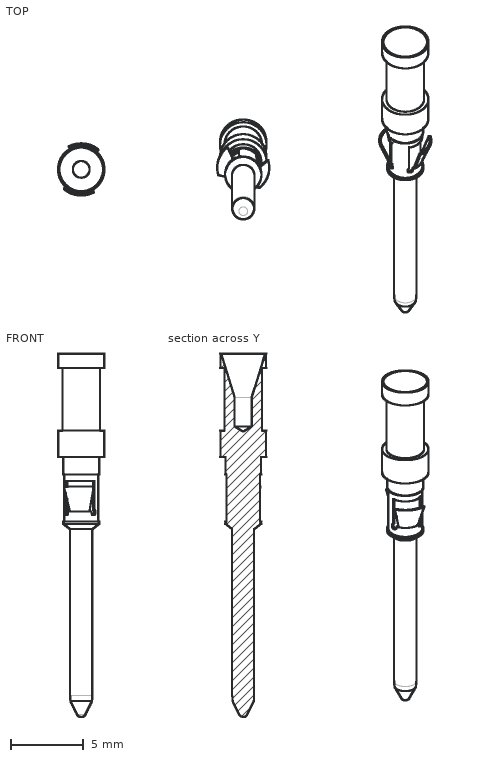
import cadquery as cq
import math

length = 25.0
z_top = length / 2
z_bottom = -length / 2

flange_radius = 1.6
neck_radius = 1.3
shoulder_radius = 1.25
sleeve_radius = 1.18
pin_radius = 0.78

z_rim_bottom = z_top - 1.0
z_collar_top = z_top - 5.3
z_collar_bottom = z_top - 7.12
z_sleeve_top = z_top - 8.3
z_sleeve_bottom = z_top - 11.55
z_ring_bottom = z_sleeve_bottom - 0.15
z_pin_top = z_ring_bottom - 0.38

z_pin_bottom = z_bottom + 1.48
z_taper_top = z_bottom + 1.1
taper_radius = 0.75
z_nose = z_bottom + 0.2
nose_radius = 0.3

mouth_radius = 1.5
bore_radius = 0.58
funnel_depth = 3.0
bore_depth = 5.0
drill_point_depth = bore_radius / math.tan(math.radians(59))

core_radius = 1.05
window_top = z_top - 8.78
window_bottom = z_top - 10.85
window_angle = 114.0
tab_top = z_top - 9.15
tab_tip_radius = 1.8
tab_angle = 70.0
tab_wall = sleeve_radius - core_radius
relief_radius = 0.2
relief_z = window_bottom - 0.05
relief_angle = 53.0
sleeve_turn = -6.4
tab_directions = [270 + sleeve_turn, 90 + sleeve_turn]


def revolve_sector(points, centre_angle, sweep):
    """Revolve an (r, z) outline about Z through a sector centred on an angle from +X."""
    sector = cq.Workplane("XZ").polyline(points).close().revolve(sweep, (0, 0), (0, 1))
    return sector.rotate((0, 0, 0), (0, 0, 1), centre_angle - sweep / 2)


def make_body():
    nose_height = z_nose - z_bottom
    nose_sphere = (nose_radius**2 + nose_height**2) / (2 * nose_height)
    half_arc = math.asin(nose_radius / nose_sphere) / 2
    nose_mid = (
        nose_sphere * math.sin(half_arc),
        z_bottom + nose_sphere * (1 - math.cos(half_arc)),
    )
    outline = (
        cq.Workplane("XZ")
        .moveTo(0, z_top)
        .lineTo(flange_radius, z_top)
        .lineTo(flange_radius, z_rim_bottom)
        .lineTo(neck_radius, z_rim_bottom)
        .lineTo(neck_radius, z_collar_top)
        .lineTo(flange_radius, z_collar_top)
        .lineTo(flange_radius, z_collar_bottom)
        .lineTo(shoulder_radius, z_collar_bottom)
        .lineTo(shoulder_radius, z_sleeve_top)
        .lineTo(sleeve_radius, z_sleeve_top)
        .lineTo(sleeve_radius, z_sleeve_bottom)
        .lineTo(shoulder_radius, z_sleeve_bottom)
        .lineTo(shoulder_radius, z_ring_bottom)
        .lineTo(pin_radius, z_pin_top)
        .lineTo(pin_radius, z_pin_bottom)
        .lineTo(taper_radius, z_taper_top)
        .lineTo(nose_radius, z_nose)
        .threePointArc(nose_mid, (0, z_bottom))
        .close()
    )
    return outline.revolve(360, (0, 0), (0, 1))


def make_wire_bore():
    z_bore_end = z_top - bore_depth
    points = [
        (0, z_top),
        (mouth_radius, z_top),
        (bore_radius, z_top - funnel_depth),
        (bore_radius, z_bore_end),
        (0, z_bore_end - drill_point_depth),
    ]
    return revolve_sector(points, 0, 360)


def make_window(direction):
    """Shallow sleeve window with a round relief at each lower corner."""
    outside = flange_radius
    points = [
        (core_radius, window_bottom),
        (outside, window_bottom),
        (outside, window_top),
        (core_radius, window_top),
    ]
    window = revolve_sector(points, direction, window_angle)
    core = cq.Workplane("XY").circle(core_radius).extrude(length, both=True)
    for side in (-1, 1):
        relief = (
            cq.Workplane("YZ")
            .center(0, relief_z)
            .circle(relief_radius)
            .extrude(outside)
            .rotate((0, 0, 0), (0, 0, 1), direction + side * relief_angle)
        )
        window = window.union(relief.cut(core))
    return window


def make_tab(direction):
    """Conical tab flaring upward from the lower edge of its window."""
    points = [
        (core_radius, window_bottom),
        (sleeve_radius, window_bottom),
        (tab_tip_radius, tab_top),
        (tab_tip_radius - tab_wall, tab_top),
    ]
    return revolve_sector(points, direction, tab_angle)


result = make_body().cut(make_wire_bore())
for tab_direction in tab_directions:
    result = result.cut(make_window(tab_direction))
    result = result.union(make_tab(tab_direction))